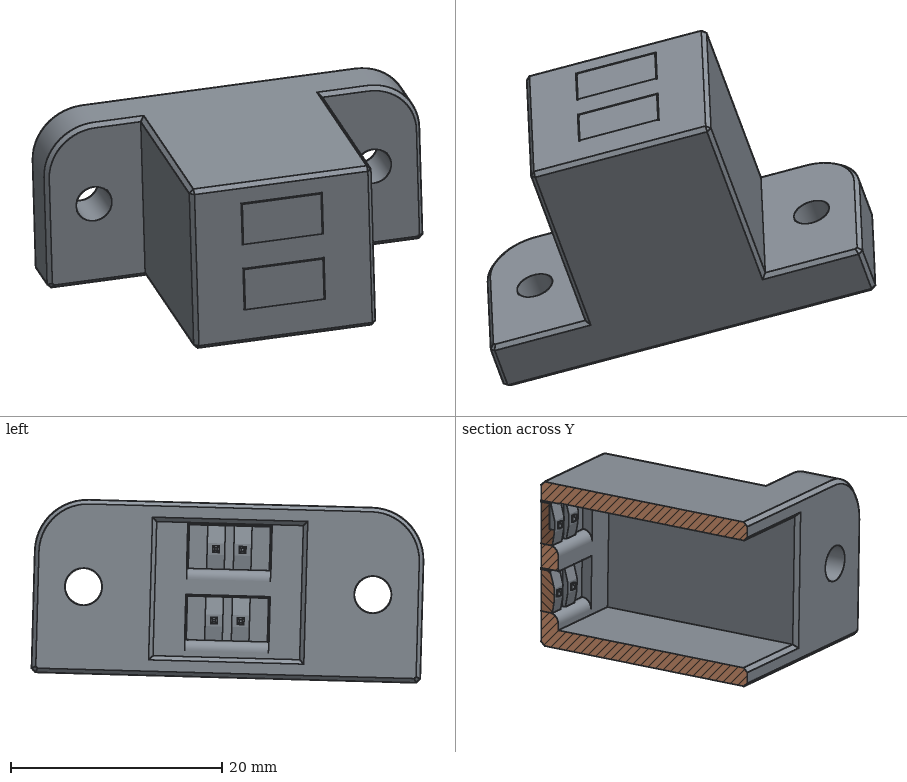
import cadquery as cq

TILT = 1.58

HEIGHT = 16.45
FLANGE_WIDTH = 36.8
FLANGE_THICKNESS = 5.0
CORNER_RADIUS = 5.0
TOTAL_DEPTH = 23
BOX_WIDTH = 17.8
EDGE_CHAMFER = 0.4
MOUNT_HOLE_DIAMETER = 3.5
MOUNT_HOLE_SPACING = 27.35

CAVITY_WIDTH = 13.85
CAVITY_HEIGHT = 12.68
BACK_WALL = (BOX_WIDTH - CAVITY_WIDTH) / 2
CAVITY_DEPTH = TOTAL_DEPTH - BACK_WALL

WINDOW_COUNT = 2
WINDOW_WIDTH = 7.95
WINDOW_HEIGHT = 4.25
WINDOW_PITCH = 6.75
LOWER_SILL_Z = -4.75
SILL_RADIUS = 1.0
SILL_HEIGHTS = [LOWER_SILL_Z + row * WINDOW_PITCH for row in range(WINDOW_COUNT)]

INSERT_CLEARANCE = 0.1
INSERT_WIDTH = WINDOW_WIDTH - 2 * INSERT_CLEARANCE
INSERT_HEIGHT = WINDOW_HEIGHT - INSERT_CLEARANCE
INSERT_FACE_X = CAVITY_DEPTH + SILL_RADIUS

RIDGE_PITCH = 2.52
RIDGE_WIDTH = 1.67
RIDGE_FLAT_BOTTOM = 1.35
RIDGE_FLAT_HEIGHT = 1.1
RIDGE_PROUD = 0.55
RIDGE_PROUD_AT_BOTTOM = 0.35
RIDGE_PROUD_AT_TOP = 0.07
PIN_SIZE = 0.63
PIN_LENGTH = 0.35
PIN_TIP_CHAMFER = 0.2


def box_at(x, y, z, length, width, height):
    """Box starting at x and z, centred across Y on y."""
    return cq.Workplane("XY").box(length, width, height, centered=(False, True, False)).translate((x, y, z))


def flange():
    """Plate with rounded top corners, chamfered bottom corners and chamfered rims."""
    plate = box_at(0, 0, -HEIGHT / 2, FLANGE_THICKNESS, FLANGE_WIDTH, HEIGHT)
    plate = plate.edges("|X and >Z").fillet(CORNER_RADIUS)
    plate = plate.edges("|X and <Z").chamfer(EDGE_CHAMFER)
    return plate.faces("<X or >X").edges().chamfer(EDGE_CHAMFER)


def rear_box():
    """Box behind the flange, level with its top and bottom, reaching into it."""
    box = box_at(EDGE_CHAMFER, 0, -HEIGHT / 2, TOTAL_DEPTH - EDGE_CHAMFER, BOX_WIDTH, HEIGHT)
    return box.edges("|X or >X").chamfer(EDGE_CHAMFER)


def mount_holes():
    """Cylinders through both ears of the flange."""
    return (
        cq.Workplane("YZ")
        .pushPoints([(-MOUNT_HOLE_SPACING / 2, 0), (MOUNT_HOLE_SPACING / 2, 0)])
        .circle(MOUNT_HOLE_DIAMETER / 2)
        .extrude(FLANGE_THICKNESS)
    )


def cavity():
    """Rectangular cavity with a chamfered mouth."""
    bore = box_at(0, 0, -CAVITY_HEIGHT / 2, CAVITY_DEPTH, CAVITY_WIDTH, CAVITY_HEIGHT)
    mouth = (
        cq.Workplane("YZ")
        .rect(CAVITY_WIDTH + 2 * EDGE_CHAMFER, CAVITY_HEIGHT + 2 * EDGE_CHAMFER)
        .workplane(offset=EDGE_CHAMFER)
        .rect(CAVITY_WIDTH, CAVITY_HEIGHT)
        .loft(ruled=True)
    )
    return bore.union(mouth)


def window(sill_z):
    """Opening through the back wall whose front sill edge is rounded over."""
    front_x = CAVITY_DEPTH
    top_z = sill_z + WINDOW_HEIGHT
    return (
        cq.Workplane("XZ")
        .moveTo(front_x, top_z)
        .lineTo(front_x, sill_z - SILL_RADIUS)
        .radiusArc((front_x + SILL_RADIUS, sill_z), SILL_RADIUS)
        .lineTo(TOTAL_DEPTH, sill_z)
        .lineTo(TOTAL_DEPTH, top_z)
        .close()
        .extrude(WINDOW_WIDTH / 2, both=True)
    )


def make_housing():
    housing = flange().union(rear_box()).cut(mount_holes()).cut(cavity())
    for sill_z in SILL_HEIGHTS:
        housing = housing.cut(window(sill_z))
    return housing


def ridge(y, sill_z):
    """Wedge standing out of the insert face: a flat crest between two slopes."""
    crest_x = INSERT_FACE_X - RIDGE_PROUD
    crest_bottom = sill_z + RIDGE_FLAT_BOTTOM
    crest_top = crest_bottom + RIDGE_FLAT_HEIGHT
    top_z = sill_z + INSERT_HEIGHT
    profile = [
        (INSERT_FACE_X, sill_z),
        (INSERT_FACE_X - RIDGE_PROUD_AT_BOTTOM, sill_z),
        (crest_x, crest_bottom),
        (crest_x, crest_top),
        (INSERT_FACE_X - RIDGE_PROUD_AT_TOP, top_z),
        (INSERT_FACE_X, top_z),
    ]
    wedge = cq.Workplane("XZ").polyline(profile).close().extrude(RIDGE_WIDTH / 2, both=True)
    return wedge.translate((0, y, 0))


def contact_pin(y, sill_z):
    """Square pin with a chamfered tip, centred on the crest of a ridge."""
    crest_x = INSERT_FACE_X - RIDGE_PROUD
    bottom_z = sill_z + RIDGE_FLAT_BOTTOM + (RIDGE_FLAT_HEIGHT - PIN_SIZE) / 2
    pin = box_at(crest_x - PIN_LENGTH, y, bottom_z, PIN_LENGTH, PIN_SIZE, PIN_SIZE)
    return pin.faces("<X").edges().chamfer(PIN_TIP_CHAMFER)


def make_insert(sill_z):
    insert = box_at(INSERT_FACE_X, 0, sill_z, TOTAL_DEPTH - INSERT_FACE_X, INSERT_WIDTH, INSERT_HEIGHT)
    for y in (-RIDGE_PITCH / 2, RIDGE_PITCH / 2):
        insert = insert.union(ridge(y, sill_z)).union(contact_pin(y, sill_z))
    return insert


def tilted(body):
    return body.rotate((0, 0, 0), (1, 0, 0), TILT)


housing = tilted(make_housing())
inserts = [tilted(make_insert(sill_z)) for sill_z in SILL_HEIGHTS]

result = cq.Compound.makeCompound([housing.val(), *[insert.val() for insert in inserts]])